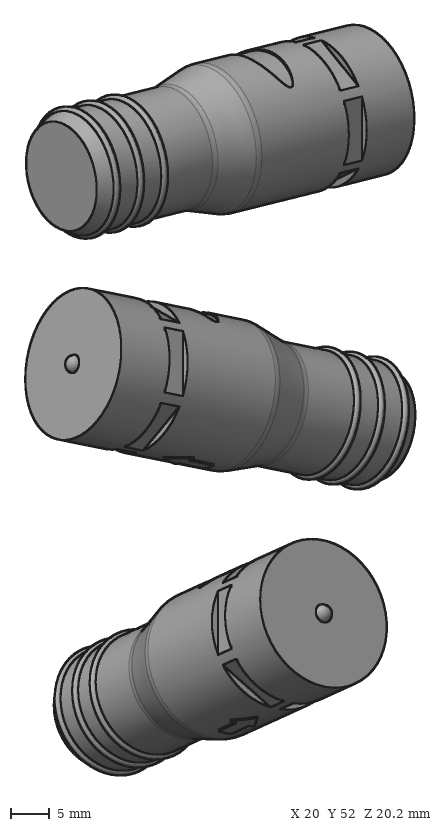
import cadquery as cq
import math

body_length = 51.0
body_radius = 10.0
tail_radius = 8.25

taper_start = 26.0
taper_end = 32.0
taper_blend_radius = 3.0

lead_in_length = 2.0
lead_in_depth = 1.0

ring_count = 3
first_ring_distance = 40.5
ring_pitch = 4.0
ring_section_radius = 0.5

flat_count = 6
flat_start = 8.0
flat_length = 3.0
across_flats = 18.0

nub_radius = 1.25
nub_height = 1.0

label_distance = 18.2
label_half_width = 6.95
label_half_length = 1.95
label_depth = 0.2

arrow_tip_distance = 15.0
arrow_length = 7.5
arrow_head_length = 3.5
arrow_head_width = 3.8
arrow_shaft_width = 2.0
arrow_height = 0.2


def turned_body():
    """Solid of revolution: body, blended taper, tail and lead-in."""
    taper_angle = math.atan2(body_radius - tail_radius, taper_end - taper_start)
    tangent = taper_blend_radius * math.tan(taper_angle / 2)
    along = tangent * math.cos(taper_angle)
    inward = tangent * math.sin(taper_angle)
    mid_along = taper_blend_radius * math.sin(taper_angle / 2)
    mid_inward = taper_blend_radius * (1 - math.cos(taper_angle / 2))
    blend_1_start = taper_start - tangent
    blend_2_end = taper_end + tangent
    return (
        cq.Workplane("XY")
        .lineTo(body_radius, 0)
        .lineTo(body_radius, -blend_1_start)
        .threePointArc(
            (body_radius - mid_inward, -(blend_1_start + mid_along)),
            (body_radius - inward, -(taper_start + along)),
        )
        .lineTo(tail_radius + inward, -(taper_end - along))
        .threePointArc(
            (tail_radius + mid_inward, -(blend_2_end - mid_along)),
            (tail_radius, -blend_2_end),
        )
        .lineTo(tail_radius, -(body_length - lead_in_length))
        .lineTo(tail_radius - lead_in_depth, -body_length)
        .lineTo(0, -body_length)
        .close()
        .revolve(360, (0, 0), (0, 1))
    )


def retaining_ring(distance):
    """Round-section ring centred on the tail surface."""
    return (
        cq.Workplane("XY")
        .center(tail_radius, -distance)
        .circle(ring_section_radius)
        .revolve(360, (-tail_radius, 0), (-tail_radius, 1))
    )


def contact_nub():
    """Ball that stands nub_height proud of the coupling face."""
    return cq.Workplane("XY").sphere(nub_radius).translate((0, nub_height - nub_radius, 0))


def wrench_flat(angle):
    """Cutter for one flat, turned about the connector axis."""
    cut_depth = body_radius - across_flats / 2
    return (
        cq.Workplane("XY")
        .box(2 * cut_depth, flat_length, 2 * body_radius)
        .translate((across_flats / 2 + cut_depth, -(flat_start + flat_length / 2), 0))
        .rotate((0, 0, 0), (0, 1, 0), angle)
    )


def tube(inner_radius, outer_radius):
    """Tube along the connector axis, as long as the body."""
    return (
        cq.Workplane("XZ")
        .circle(outer_radius)
        .circle(inner_radius)
        .extrude(body_length)
    )


def label_recess():
    """Oval cutter of constant depth below the curved body surface."""
    oval = (
        cq.Workplane("XY")
        .center(0, -label_distance)
        .ellipse(label_half_width, label_half_length)
        .extrude(2 * body_radius)
    )
    return oval.intersect(tube(body_radius - label_depth, 2 * body_radius))


def raised_arrow():
    """Arrow of constant height that follows the curved body surface."""
    tip = -arrow_tip_distance
    head_base = tip - arrow_head_length
    shaft_end = tip - arrow_length
    block = (
        cq.Workplane("XY")
        .moveTo(0, tip)
        .lineTo(arrow_head_width / 2, head_base)
        .lineTo(arrow_shaft_width / 2, head_base)
        .lineTo(arrow_shaft_width / 2, shaft_end)
        .lineTo(-arrow_shaft_width / 2, shaft_end)
        .lineTo(-arrow_shaft_width / 2, head_base)
        .lineTo(-arrow_head_width / 2, head_base)
        .close()
        .extrude(-2 * body_radius)
    )
    return block.intersect(tube(body_radius - arrow_height, body_radius + arrow_height))


result = turned_body().union(contact_nub())
for ring in range(ring_count):
    result = result.union(retaining_ring(first_ring_distance + ring * ring_pitch))
for flat in range(flat_count):
    result = result.cut(wrench_flat(flat * 360 / flat_count))
result = result.cut(label_recess()).union(raised_arrow())